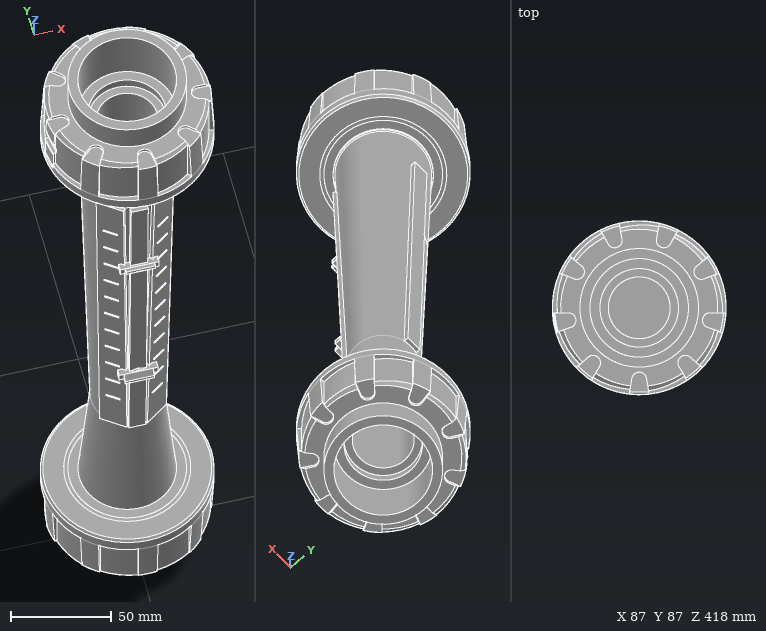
import cadquery as cq
import math

LENGTH = 418.0
MID_Z = LENGTH / 2
LOWER_END_TURN = -20

NUT_Z = 365.5
NUT_HEIGHT = 36.8
NUT_TOP_Z = NUT_Z + NUT_HEIGHT
NUT_R = 43.5
NUT_TOP_R = 42.2
SKIRT_HEIGHT = 8.0
SKIRT_CHAMFER = 1.3
EDGE_CHAMFER_WIDTH = 3.0
EDGE_CHAMFER_HEIGHT = 2.0
LIP_HEIGHT = 6.0
RIB_COUNT = 9
RIB_WIDTH = 10.0
RIB_PITCH = 360 / RIB_COUNT
RIB_START = 270
SHALLOW_R = 42.0
DEEP_R = 41.0
NOTCH_R = 32.0
NOTCH_WIDTH = 7.5
NOTCH_DEPTH = EDGE_CHAMFER_HEIGHT
LOCK_AZIMUTH = RIB_START - 2 * RIB_PITCH
LOCK_STEPS = [
    (387.0, 391.0, 42.0),
    (383.5, 387.0, 41.0),
    (370.5, 382.5, 42.5),
]

PIPE_R = 29.5
PIPE_BORE_R = 24.5
PIPE_BORE_DEPTH = 31.8
COLLAR_R = 31.8
PASSAGE_R = 19.5
SOCKET_R = 29.5
SOCKET_DEPTH = 15.0
SOCKET_Z = NUT_Z + SOCKET_DEPTH
LIP_Z = NUT_TOP_Z - LIP_HEIGHT

TUBE_BORE_R = 15.5
WAIST_Z = 124.0
WAIST_R = 19.0
TUBE_TOP_R = 24.2
TUBE_FOOT_R = 24.5
NECK_R = 25.0
NECK_HEIGHT = 1.3
NECK_Z = NUT_Z - NECK_HEIGHT
FOOT_Z = LENGTH - NUT_Z
TUBE_SLOPE = (TUBE_TOP_R - WAIST_R) / (NECK_Z - WAIST_Z)

SCALE_TOP_Z = 334.5
ROOT_DEPTH = 2.0
PANEL_WIDTH = 14.5
PANEL_RISE = 1.0
PANEL_ANGLE = 35
RAIL_WIDTH = 8.8
RAIL_RISE = 2.0
FRONT = 270
BACK = 90
MARK_COUNT = 11
SCALE_SPAN = 160.0
MARK_PITCH = SCALE_SPAN / (MARK_COUNT - 1)
FIRST_MARK_Z = 149.0
MARK_WIDTH = 7.5
MARK_HEIGHT = 0.5
MARK_DEPTH = 0.5

UPPER_MARK = 8
LOWER_MARK = 2
UPPER_TIP_Z = FIRST_MARK_Z + UPPER_MARK * MARK_PITCH
LOWER_TIP_Z = FIRST_MARK_Z + LOWER_MARK * MARK_PITCH
CLIP_WIDTH = 20.0
CLIP_HEIGHT = 4.0
TIP_HEIGHT = 1.3
TIP_WIDTH = 6.0
CLIP_COVER = 1.3
KNOB_WIDTH = 15.0
KNOB_REACH = 2.5
KNOB_HEIGHT = 2.0
KNOB_OVERHANG = 1.0

FLOAT_HEIGHT = 33.5


def polar(radius, azimuth):
    angle = math.radians(azimuth)
    return (radius * math.cos(angle), radius * math.sin(angle))


def revolve(profile):
    """Turn a closed (radius, z) outline about the Z axis."""
    return cq.Workplane("XZ").polyline(profile).close().revolve(360, (0, 0), (0, 1))


def disc(radius, z_low, z_high):
    return cq.Workplane("XY").workplane(offset=z_low).circle(radius).extrude(z_high - z_low)


def tube_radius(z):
    """Outer radius of the measuring length of the tube."""
    return WAIST_R + TUBE_SLOPE * (z - WAIST_Z)


def flip(body):
    """Turn an upper end body over to the lower end."""
    turned = body.rotate((0, 0, MID_Z), (1, 0, MID_Z), 180)
    return turned.rotate((0, 0, 0), (0, 0, 1), LOWER_END_TURN)


def grip_recess(rib_azimuth):
    """Cutter between one rib and the next, deepening towards the next rib."""
    rib_half = math.degrees(RIB_WIDTH / 2 / NUT_R)
    start = rib_azimuth + rib_half
    end = rib_azimuth + RIB_PITCH - rib_half
    middle = (start + end) / 2
    outside = 2 * NUT_R - DEEP_R
    return (
        cq.Workplane("XY").workplane(offset=NUT_Z + SKIRT_HEIGHT)
        .moveTo(*polar(SHALLOW_R, start))
        .threePointArc(polar((SHALLOW_R + DEEP_R) / 2, middle), polar(DEEP_R, end))
        .lineTo(*polar(outside, end))
        .threePointArc(polar(outside, middle), polar(outside, start))
        .close()
        .extrude(NUT_HEIGHT)
    )


def rib_notch(azimuth):
    """Round-ended notch across the top of a rib."""
    end_r = NOTCH_WIDTH / 2
    shape = cq.Workplane("XY").workplane(offset=NUT_TOP_Z - NOTCH_DEPTH)
    rounded = shape.center(NOTCH_R + end_r, 0).circle(end_r).extrude(NOTCH_DEPTH)
    straight = (
        shape.moveTo(NOTCH_R + end_r, -end_r)
        .lineTo(NUT_R, -RIB_WIDTH / 2)
        .lineTo(NUT_R, RIB_WIDTH / 2)
        .lineTo(NOTCH_R + end_r, end_r)
        .close()
        .extrude(NOTCH_DEPTH)
    )
    return rounded.union(straight).rotate((0, 0, 0), (0, 0, 1), azimuth)


def lock_cut(z_low, z_high, floor_r):
    """Flat-floored cut across the locking rib."""
    cut = cq.Workplane("XY").box(NUT_R, RIB_WIDTH, z_high - z_low, centered=(False, True, False))
    return cut.translate((floor_r, 0, z_low)).rotate((0, 0, 0), (0, 0, 1), LOCK_AZIMUTH)


def make_nut():
    nut = revolve([
        (0, NUT_Z),
        (NUT_R - SKIRT_CHAMFER, NUT_Z),
        (NUT_R, NUT_Z + SKIRT_CHAMFER),
        (NUT_R, NUT_Z + SKIRT_HEIGHT),
        (NUT_TOP_R, NUT_TOP_Z - EDGE_CHAMFER_HEIGHT),
        (NUT_TOP_R - EDGE_CHAMFER_WIDTH, NUT_TOP_Z),
        (0, NUT_TOP_Z),
    ])
    azimuths = [RIB_START + i * RIB_PITCH for i in range(RIB_COUNT)]
    for azimuth in azimuths:
        nut = nut.cut(grip_recess(azimuth))
    for azimuth in azimuths:
        nut = nut.cut(rib_notch(azimuth))
    for z_low, z_high, floor_r in LOCK_STEPS:
        nut = nut.cut(lock_cut(z_low, z_high, floor_r))
    nut = nut.cut(disc(COLLAR_R, NUT_Z, LIP_Z))
    return nut.cut(disc(PIPE_R, LIP_Z, NUT_TOP_Z))


def make_connector():
    return revolve([
        (SOCKET_R, NUT_Z),
        (COLLAR_R, NUT_Z),
        (COLLAR_R, LIP_Z),
        (PIPE_R, LIP_Z),
        (PIPE_R, LENGTH),
        (PIPE_BORE_R, LENGTH),
        (PIPE_BORE_R, LENGTH - PIPE_BORE_DEPTH),
        (PASSAGE_R, LENGTH - PIPE_BORE_DEPTH),
        (PASSAGE_R, SOCKET_Z),
        (SOCKET_R, SOCKET_Z),
    ])


def strip(azimuth, width, z_low, z_high, inner, outer):
    """Straight strip following the tube slope; inner and outer are offsets from its surface."""
    profile = [
        (tube_radius(z_low) + inner, z_low),
        (tube_radius(z_low) + outer, z_low),
        (tube_radius(z_high) + outer, z_high),
        (tube_radius(z_high) + inner, z_high),
    ]
    blank = cq.Workplane("XZ").polyline(profile).close().extrude(width / 2, both=True)
    return blank.rotate((0, 0, 0), (0, 0, 1), azimuth)


def make_tube():
    tube = revolve([
        (0, LENGTH - SOCKET_Z),
        (SOCKET_R, LENGTH - SOCKET_Z),
        (SOCKET_R, FOOT_Z),
        (TUBE_FOOT_R, FOOT_Z),
        (WAIST_R, WAIST_Z),
        (TUBE_TOP_R, NECK_Z),
        (NECK_R, NECK_Z),
        (NECK_R, NUT_Z),
        (SOCKET_R, NUT_Z),
        (SOCKET_R, SOCKET_Z),
        (0, SOCKET_Z),
    ])
    for azimuth in (FRONT, BACK):
        tube = tube.union(strip(azimuth, RAIL_WIDTH, WAIST_Z, SCALE_TOP_Z, -ROOT_DEPTH, RAIL_RISE))
    for azimuth in (FRONT - PANEL_ANGLE, FRONT + PANEL_ANGLE):
        tube = tube.union(strip(azimuth, PANEL_WIDTH, WAIST_Z, SCALE_TOP_Z, -ROOT_DEPTH, PANEL_RISE))
        for i in range(MARK_COUNT):
            z_low = FIRST_MARK_Z + i * MARK_PITCH - MARK_HEIGHT / 2
            floor = PANEL_RISE - MARK_DEPTH
            tube = tube.cut(strip(azimuth, MARK_WIDTH, z_low, z_low + MARK_HEIGHT, floor, PANEL_RISE))
    return tube.cut(disc(TUBE_BORE_R, LENGTH - SOCKET_Z, SOCKET_Z))


def make_pointer(tip_z, direction, tube):
    """Clip with a pointed edge at tip_z; its knob lies on the side given by direction (+1 up, -1 down)."""
    surface = tube_radius(tip_z)
    front = surface + RAIL_RISE + CLIP_COVER
    half = CLIP_WIDTH / 2
    clip_edge = TIP_HEIGHT * direction
    clip_end = clip_edge + CLIP_HEIGHT * direction
    knob_end = clip_end + KNOB_OVERHANG * direction
    clip = (
        cq.Workplane("XZ", origin=(0, -surface, tip_z))
        .polyline([
            (0, 0),
            (TIP_WIDTH / 2, clip_edge),
            (half, clip_edge),
            (half, clip_end),
            (-half, clip_end),
            (-half, clip_edge),
            (-TIP_WIDTH / 2, clip_edge),
        ])
        .close()
        .extrude(front - surface)
    )
    knob = (
        cq.Workplane("YZ", origin=(0, 0, tip_z))
        .polyline([
            (-front, clip_edge),
            (-front - KNOB_REACH, knob_end - KNOB_HEIGHT * direction),
            (-front - KNOB_REACH, knob_end),
            (-front, clip_end),
        ])
        .close()
        .extrude(KNOB_WIDTH / 2, both=True)
    )
    return clip.union(knob).cut(tube)


upper_nut = make_nut()
lower_nut = flip(upper_nut)
upper_connector = make_connector()
lower_connector = flip(upper_connector)
tube = make_tube()
pointers = [make_pointer(UPPER_TIP_Z, 1, tube), make_pointer(LOWER_TIP_Z, -1, tube)]
float_body = disc(TUBE_BORE_R, MID_Z - FLOAT_HEIGHT / 2, MID_Z + FLOAT_HEIGHT / 2)

result = cq.Compound.makeCompound([
    tube.val(),
    float_body.val(),
    upper_nut.val(),
    lower_nut.val(),
    upper_connector.val(),
    lower_connector.val(),
    *[pointer.val() for pointer in pointers],
])